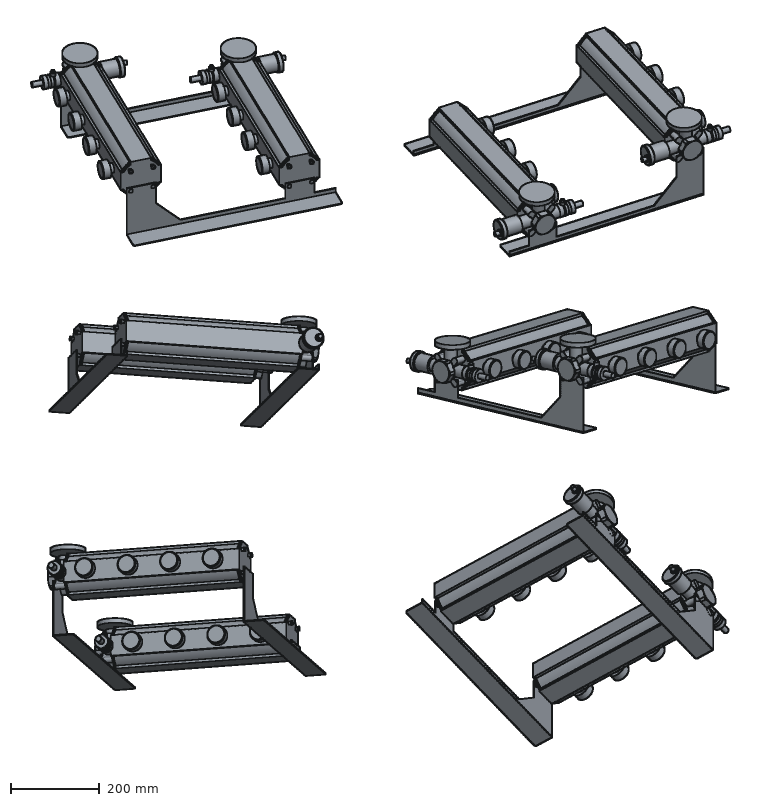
import cadquery as cq
import math

overall_length_x = 511.0
overall_length_y = 608.0
overall_height = 210.5
front_axis_y = 112.0
front_axis_z = 145.0
manifold_pitch_y = 378.0
manifold_drop = 75.5

tube_start_x = 44.5
tube_length = 411.0
tube_end_x = tube_start_x + tube_length
tube_half_size = 48.0
rib_width = 48.0
end_plate_thickness = 3.5
end_plate_recess = 1.0
corner_cut = tube_half_size - rib_width / 2

knob_count = 4
first_knob_x = 100.0
knob_pitch = 100.0
knob_neck_radius = 11.5
knob_neck_length = 10.5
knob_radius = 21.0
knob_length = 19.0
knob_chamfer = 2.0

arm_start_x = 17.5
arm_radius = 7.0
bolt_offset = 27.0
branch_x = 33.5
branch_radius = 15.0
neck_radius = 14.5
nut_across_flats = 50.5
nut_corner_radius = 27.5
nut_chamfer = 2.5

wheel_radius = 40.0
wheel_thickness = 11.0
wheel_x = wheel_radius
stem_radius = 3.0
wheel_top = overall_height - front_axis_z

fitting_radius = 16.0
drain_groove_radius = 14.5
drain_narrow_groove = (60.0, 63.0)
drain_wide_groove = (70.5, 77.0)
drain_body_end = 87.5
drain_spout_radius = 6.5
screw_distance = 62.0
screw_base_radius = 6.0
screw_base_top = 22.5
screw_head_radius = 3.5
screw_top = 27.5

vent_body_start = 51.5
vent_body_radius = 20.5
vent_cap_start = 90.5
vent_cap_radius = 24.0
vent_cap_chamfer = 2.0
vent_cap_end = 103.5
vent_collar_radius = 8.0
vent_collar_end = 107.0
vent_nipple_radius = 5.5
vent_nipple_end = overall_length_y - front_axis_y - manifold_pitch_y
vent_nipple_shift = 11.5

bolt_radius = 3.5
bolt_head_radius = 5.0
bolt_head_thickness = 2.5

sheet = 2.5
flange_width = 48.0
bracket_length = 498.5
left_bracket_x = 16.0
right_bracket_x = overall_length_x - flange_width
bolt_end_x = right_bracket_x + sheet / 2
post_front_reach = 37.0
post_rear_reach = 33.0
post_top_below_axis = 16.0
strip_height = 13.0
brace_top = 72.0
brace_run = 58.0
flange_corner_radius = 5.0


def rod_x(start, end, radius, y=0.0, z=0.0):
    """Cylinder along X."""
    return cq.Workplane("YZ", origin=(start, y, z)).circle(radius).extrude(end - start)


def rod_y(start, end, radius, x):
    """Cylinder along Y at the height of the tube axis."""
    return cq.Workplane("XZ", origin=(x, start, 0)).circle(radius).extrude(start - end)


def rod_z(start, end, radius, x, y=0.0):
    """Cylinder along Z."""
    return cq.Workplane("XY", origin=(x, y, start)).circle(radius).extrude(end - start)


def make_tube():
    full_size = 2 * tube_half_size
    section = cq.Workplane("YZ", origin=(tube_start_x, 0, 0))
    tube = section.circle(tube_half_size).extrude(tube_length)
    tube = tube.union(section.rect(full_size, rib_width).extrude(tube_length))
    tube = tube.union(section.rect(rib_width, full_size).extrude(tube_length))
    first_plate_x = tube_start_x + end_plate_recess
    last_plate_x = tube_end_x - end_plate_recess - end_plate_thickness
    for plate_x in (first_plate_x, last_plate_x):
        plate = (
            cq.Workplane("YZ", origin=(plate_x, 0, 0))
            .rect(full_size, full_size)
            .extrude(end_plate_thickness)
            .edges("|X")
            .chamfer(corner_cut)
        )
        tube = tube.union(plate)
    return tube


def make_knob(x):
    neck_end = -tube_half_size - knob_neck_length
    neck = rod_y(-tube_half_size, neck_end, knob_neck_radius, x)
    knob = rod_y(neck_end, neck_end - knob_length, knob_radius, x)
    return neck.union(knob.faces("<Y").chamfer(knob_chamfer))


def make_nut():
    """Hexagon nut with flats up and down, its corners turned round and its outer face chamfered."""
    corner_to_corner = nut_across_flats / math.cos(math.pi / 6)
    hexagon = cq.Workplane("YZ").polygon(6, corner_to_corner).extrude(arm_start_x)
    turned = rod_x(0, arm_start_x, nut_corner_radius).faces("<X").chamfer(nut_chamfer)
    return hexagon.intersect(turned)


def make_cross():
    """Four round-ended diagonal arms, the horizontal branch and the upright valve neck."""
    depth = tube_start_x - arm_start_x
    arm_span = 2 * math.hypot(bolt_offset, bolt_offset) + 2 * arm_radius
    cross = rod_y(-tube_half_size, vent_body_start, branch_radius, branch_x)
    cross = cross.union(rod_z(0, tube_half_size, neck_radius, branch_x))
    for angle in (45, 135):
        arm = cq.Workplane("YZ", origin=(arm_start_x, 0, 0)).slot2D(arm_span, 2 * arm_radius, angle)
        cross = cross.union(arm.extrude(depth))
    return cross.union(make_nut())


def make_handwheel():
    wheel_bottom = wheel_top - wheel_thickness
    stem = rod_z(0, wheel_bottom, stem_radius, wheel_x)
    return stem.union(rod_z(wheel_bottom, wheel_top, wheel_radius, wheel_x))


def make_drain():
    drain = rod_y(-tube_half_size, -drain_body_end, fitting_radius, branch_x)
    for groove_start, groove_end in (drain_narrow_groove, drain_wide_groove):
        ring = rod_y(-groove_start, -groove_end, fitting_radius, branch_x)
        ring = ring.cut(rod_y(-groove_start, -groove_end, drain_groove_radius, branch_x))
        drain = drain.cut(ring)
    drain = drain.union(rod_y(-drain_body_end, -front_axis_y, drain_spout_radius, branch_x))
    drain = drain.union(rod_z(0, screw_base_top, screw_base_radius, branch_x, -screw_distance))
    return drain.union(rod_z(0, screw_top, screw_head_radius, branch_x, -screw_distance))


def make_vent():
    nipple_x = branch_x - vent_nipple_shift
    vent = rod_y(vent_body_start, vent_cap_start, vent_body_radius, branch_x)
    cap = rod_y(vent_cap_start, vent_cap_end, vent_cap_radius, branch_x)
    vent = vent.union(cap.faces("<Y or >Y").chamfer(vent_cap_chamfer))
    vent = vent.union(rod_y(vent_cap_end, vent_collar_end, vent_collar_radius, nipple_x))
    return vent.union(rod_y(vent_collar_end, vent_nipple_end, vent_nipple_radius, nipple_x))


def make_spacer_bolt(y, z):
    bolt = rod_x(tube_end_x, bolt_end_x, bolt_radius, y, z)
    return bolt.union(rod_x(bolt_end_x - bolt_head_thickness, bolt_end_x, bolt_head_radius, y, z))


def make_manifold():
    """One complete manifold with its tube axis along the X axis."""
    manifold = make_tube().union(make_cross()).union(make_handwheel())
    manifold = manifold.union(make_drain()).union(make_vent())
    for index in range(knob_count):
        manifold = manifold.union(make_knob(first_knob_x + index * knob_pitch))
    for y in (-bolt_offset, bolt_offset):
        for z in (-bolt_offset, bolt_offset):
            manifold = manifold.union(make_spacer_bolt(y, z))
    return manifold


def make_bracket(x):
    """Bent sheet: an upright with one post per manifold and a foot flange pointing to +X."""
    front_y = front_axis_y - post_front_reach
    rear_y = front_y + bracket_length
    front_post_rear = front_axis_y + post_rear_reach
    rear_axis_y = front_axis_y + manifold_pitch_y
    rear_post_front = rear_axis_y - post_front_reach
    rear_post_rear = rear_axis_y + post_rear_reach
    front_post_top = front_axis_z - post_top_below_axis
    rear_post_top = front_post_top - manifold_drop
    outline = [
        (front_y, 0),
        (front_y, front_post_top),
        (front_post_rear, front_post_top),
        (front_post_rear, brace_top),
        (front_post_rear + brace_run, strip_height),
        (rear_post_front, strip_height),
        (rear_post_front, rear_post_top),
        (rear_post_rear, rear_post_top),
        (rear_post_rear, strip_height),
        (rear_y, strip_height),
        (rear_y, 0),
    ]
    upright = cq.Workplane("YZ", origin=(x, 0, 0)).polyline(outline).close().extrude(sheet)
    flange = (
        cq.Workplane("XY", origin=(x, front_y, 0))
        .rect(flange_width, bracket_length, centered=False)
        .extrude(sheet)
        .edges("|Z and >X")
        .fillet(flange_corner_radius)
    )
    return upright.union(flange)


front_manifold = make_manifold().translate((0, front_axis_y, front_axis_z))
rear_manifold = front_manifold.translate((0, manifold_pitch_y, -manifold_drop))

result = front_manifold.union(rear_manifold)
for bracket_x in (left_bracket_x, right_bracket_x):
    result = result.union(make_bracket(bracket_x))